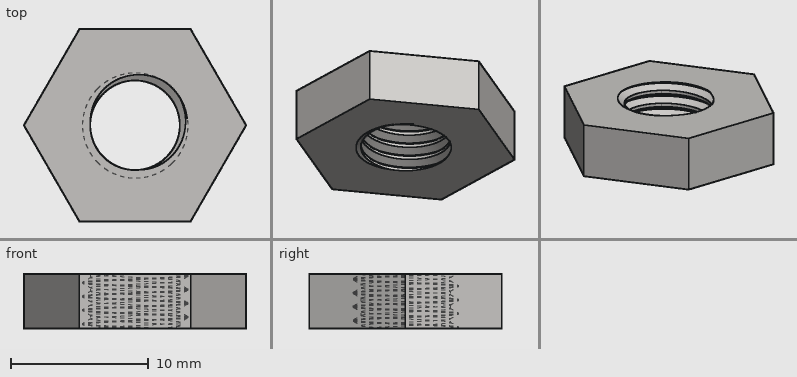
import cadquery as cq
import math

across_corners = 16.17
nut_height = 4.0

bore_radius = 3.25
groove_depth = 0.58
root_flat = 0.06
groove_angle = 60.0
pitch = 1.0
root_exit_angle = 45.0
inner_overlap = 0.08
extra_turns = 1


def make_blank():
    return cq.Workplane("XY").polygon(6, across_corners).extrude(nut_height)


def make_bore():
    return cq.Workplane("XY").circle(bore_radius).extrude(nut_height)


def make_thread_cutter():
    inner_radius = bore_radius - inner_overlap
    root_radius = bore_radius + groove_depth
    half_root = root_flat / 2
    half_mouth = half_root + (root_radius - inner_radius) * math.tan(math.radians(groove_angle / 2))
    turns = math.ceil(nut_height / pitch) + 2 * extra_turns
    length = turns * pitch
    helix = cq.Wire.makeHelix(pitch, length, bore_radius)
    groove = (
        cq.Workplane("XZ")
        .moveTo(inner_radius, -half_mouth)
        .lineTo(root_radius, -half_root)
        .lineTo(root_radius, half_root)
        .lineTo(inner_radius, half_mouth)
        .close()
        .sweep(cq.Workplane(helix), isFrenet=True)
    )
    start_z = nut_height + extra_turns * pitch - length
    return groove.rotate((0, 0, 0), (0, 0, 1), root_exit_angle).translate((0, 0, start_z))


result = make_blank().cut(make_thread_cutter()).cut(make_bore())